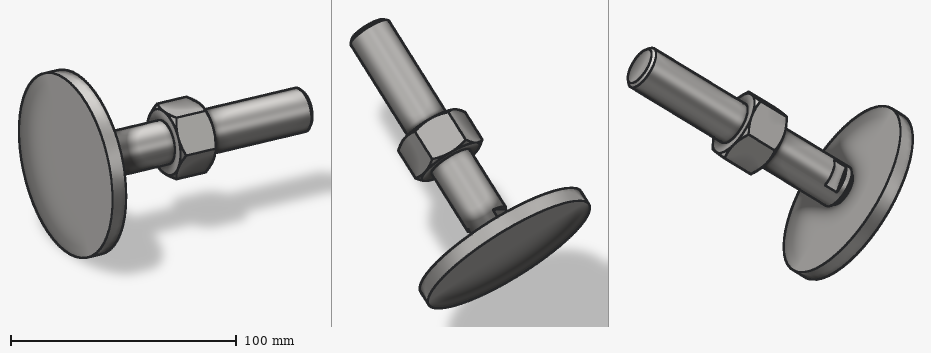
import cadquery as cq
import math

TOTAL_LENGTH = 121.0

BASE_DIAMETER = 84.0
BASE_THICKNESS = 7.0
BOSS_BOTTOM_RADIUS = 8.0
BOSS_TOP_RADIUS = 7.3
BOSS_HEIGHT = 1.0

ROD_RADIUS = 10.0
ROD_START = BASE_THICKNESS + BOSS_HEIGHT
ROD_CHAMFER = 1.5

FLATS_ACROSS = 15.0
FLATS_START = 12.5
FLATS_LENGTH = 6.5
FLATS_TILT = 30.0

NUT_ACROSS_FLATS = 30.0
NUT_START = 50.0
NUT_HEIGHT = 18.0
NUT_CHAMFER_DEPTH = 1.6

nut_flat_radius = NUT_ACROSS_FLATS / 2
nut_corner_radius = nut_flat_radius / math.cos(math.pi / 6)


def plane_at(y):
    """Plane across the axis at height y, with local X along X and the normal along +Y."""
    return cq.Plane(origin=(0, y, 0), xDir=(1, 0, 0), normal=(0, 1, 0))


def revolve_about_y(points):
    """Revolve a closed (radius, y) profile about the Y axis."""
    return cq.Workplane("XY").polyline(points).close().revolve(360, (0, 0, 0), (0, 1, 0))


def make_base():
    base_radius = BASE_DIAMETER / 2
    return revolve_about_y([
        (0, 0),
        (base_radius, 0),
        (base_radius, BASE_THICKNESS),
        (BOSS_BOTTOM_RADIUS, BASE_THICKNESS),
        (BOSS_TOP_RADIUS, ROD_START),
        (0, ROD_START),
    ])


def make_flat_cutter():
    """Pair of blocks that remove the rod outside its two flats."""
    blank_width = 3 * ROD_RADIUS
    plane = plane_at(FLATS_START)
    blank = cq.Workplane(plane).rect(blank_width, blank_width).extrude(FLATS_LENGTH)
    core = cq.Workplane(plane).rect(FLATS_ACROSS, blank_width).extrude(FLATS_LENGTH)
    return blank.cut(core).rotate((0, 0, 0), (0, 1, 0), -FLATS_TILT)


def make_rod():
    rod = cq.Workplane(plane_at(ROD_START)).circle(ROD_RADIUS).extrude(TOTAL_LENGTH - ROD_START)
    rod = rod.faces("<Y or >Y").chamfer(ROD_CHAMFER)
    return rod.cut(make_flat_cutter())


def make_nut():
    nut_end = NUT_START + NUT_HEIGHT
    hexagon = cq.Workplane(plane_at(NUT_START)).polygon(6, 2 * nut_corner_radius).extrude(NUT_HEIGHT)
    envelope = revolve_about_y([
        (0, NUT_START),
        (nut_flat_radius, NUT_START),
        (nut_corner_radius, NUT_START + NUT_CHAMFER_DEPTH),
        (nut_corner_radius, nut_end - NUT_CHAMFER_DEPTH),
        (nut_flat_radius, nut_end),
        (0, nut_end),
    ])
    bore = cq.Workplane(plane_at(NUT_START)).circle(ROD_RADIUS).extrude(NUT_HEIGHT)
    return hexagon.intersect(envelope).cut(bore)


base = make_base()
rod = make_rod()
nut = make_nut()

result = cq.Compound.makeCompound([base.val(), rod.solids().val(), nut.solids().val()])